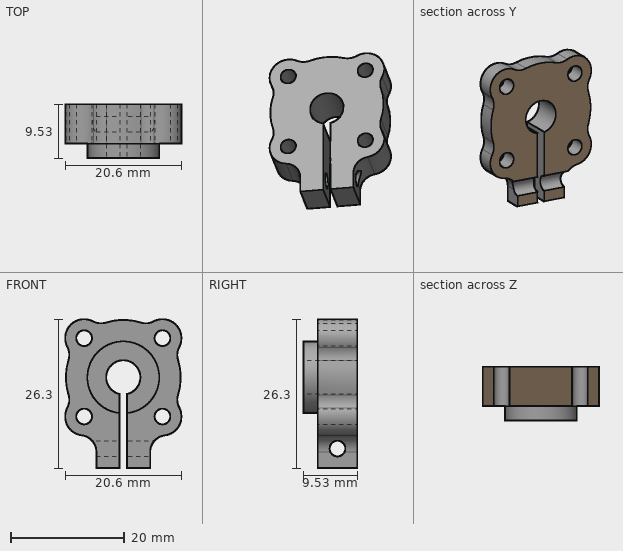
import cadquery as cq
import math


flange_thickness = 6.985
bolt_circle_radius = 9.779
bolt_offset = bolt_circle_radius / math.sqrt(2)
lobe_radius = 3.37
disc_radius = 10.16
valley_radius = 3.0
bolt_hole_diameter = 2.74

hub_diameter = 12.7
hub_length = 2.54
bore_diameter = 6.0

stem_half_width = 4.763
stem_bottom = -16.005
stem_fillet_radius = 2.92
slot_width = 1.3
screw_hole_diameter = 2.74
screw_height = -12.57


def toward(start, target, distance):
    """Point at the given distance from start, in the direction of target."""
    span = math.dist(start, target)
    return tuple(a + (b - a) * distance / span for a, b in zip(start, target))


def midpoint(first, second):
    return tuple((a + b) / 2 for a, b in zip(first, second))


def mirror_x(point):
    return (-point[0], point[1])


def mirror_z(point):
    return (point[0], -point[1])


def swap_axes(point):
    return (point[1], point[0])


def stem_fillet_center():
    x = stem_half_width + stem_fillet_radius
    drop = math.sqrt((lobe_radius + stem_fillet_radius)**2 - (x - bolt_offset)**2)
    return (x, -bolt_offset - drop)


def right_half_arcs():
    """Outline arcs from the right stem side up to the top centre, as (middle, end) points."""
    origin = (0, 0)
    upper_lobe = (bolt_offset, bolt_offset)
    lower_lobe = mirror_z(upper_lobe)

    disc_to_valley = disc_radius + valley_radius
    lobe_to_valley = lobe_radius + valley_radius
    cosine = disc_to_valley**2 + bolt_circle_radius**2 - lobe_to_valley**2
    cosine /= 2 * disc_to_valley * bolt_circle_radius
    valley_angle = math.pi / 4 - math.acos(cosine)
    valley = (disc_to_valley * math.cos(valley_angle), disc_to_valley * math.sin(valley_angle))
    disc_touch = toward(origin, valley, disc_radius)
    lobe_touch = toward(upper_lobe, valley, lobe_radius)
    valley_middle = toward(valley, midpoint(disc_touch, lobe_touch), valley_radius)
    lobe_middle = toward(upper_lobe, (2 * bolt_offset, 2 * bolt_offset), lobe_radius)

    fillet = stem_fillet_center()
    stem_lobe_touch = toward(lower_lobe, fillet, lobe_radius)
    stem_touch = (stem_half_width, fillet[1])
    fillet_middle = toward(fillet, midpoint(stem_touch, stem_lobe_touch), stem_fillet_radius)

    return [
        (fillet_middle, stem_lobe_touch),
        (mirror_z(lobe_middle), mirror_z(lobe_touch)),
        (mirror_z(valley_middle), mirror_z(disc_touch)),
        ((disc_radius, 0), disc_touch),
        (valley_middle, lobe_touch),
        (lobe_middle, swap_axes(lobe_touch)),
        (swap_axes(valley_middle), swap_axes(disc_touch)),
    ]


def flange():
    arcs = right_half_arcs()
    stem_touch = (stem_half_width, stem_fillet_center()[1])
    stem_corner = (stem_half_width, stem_bottom)

    outline = cq.Workplane("XZ").moveTo(*stem_corner).lineTo(*stem_touch)
    for middle, end in arcs:
        outline = outline.threePointArc(middle, end)

    outline = outline.threePointArc((0, disc_radius), mirror_x(arcs[-1][1]))
    starts = [stem_touch] + [end for _, end in arcs[:-1]]
    for (middle, _), start in zip(reversed(arcs), reversed(starts)):
        outline = outline.threePointArc(mirror_x(middle), mirror_x(start))
    outline = outline.lineTo(*mirror_x(stem_corner)).close()
    return outline.extrude(-flange_thickness)


def hub():
    overlap = flange_thickness / 2
    plane = cq.Workplane("XZ", origin=(0, overlap, 0))
    return plane.circle(hub_diameter / 2).extrude(hub_length + overlap)


def through_y(diameter, points):
    """Cylinders along Y, long enough to pass through the hub and the flange."""
    plane = cq.Workplane("XZ", origin=(0, flange_thickness, 0))
    return plane.pushPoints(points).circle(diameter / 2).extrude(flange_thickness + hub_length)


def clamp_slot():
    length = flange_thickness + hub_length
    slot = cq.Workplane("XY").box(slot_width, length, -stem_bottom, centered=(True, False, False))
    return slot.translate((0, -hub_length, stem_bottom))


def screw_hole():
    plane = cq.Workplane("YZ").center(flange_thickness / 2, screw_height)
    return plane.circle(screw_hole_diameter / 2).extrude(bolt_circle_radius, both=True)


bolt_points = [(sx * bolt_offset, sz * bolt_offset) for sx in (-1, 1) for sz in (-1, 1)]

result = flange().union(hub())
result = result.cut(through_y(bore_diameter, [(0, 0)]))
result = result.cut(through_y(bolt_hole_diameter, bolt_points))
result = result.cut(clamp_slot())
result = result.cut(screw_hole())